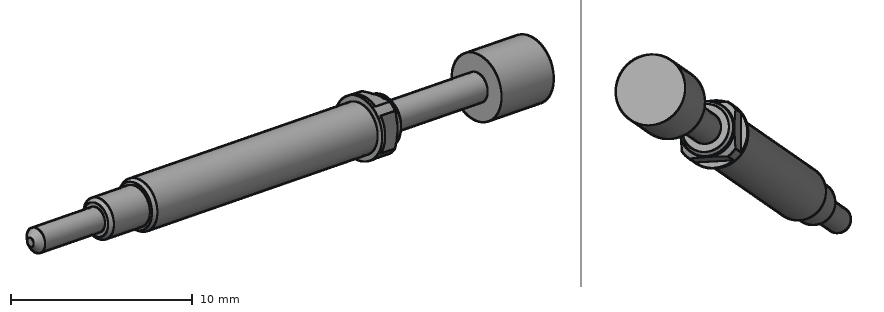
import cadquery as cq


pin_shoulder = 0.4
sleeve_start = 4.98
barrel_start = 7.95
flange_start = 25.0
flange_end = 25.25
collar_end = 26.98
head_start = 34.0
total_length = 38.0

pin_tip_diameter = 0.55
pin_diameter = 1.5
sleeve_diameter = 2.45
barrel_diameter = 3.08
flange_diameter = 3.8
plunger_diameter = 1.8
head_diameter = 4.0

sleeve_chamfer = 0.23
barrel_chamfer_length = 0.25
barrel_chamfer_depth = 0.15
collar_chamfer = 0.2
collar_taper_start = 26.35
collar_taper_end = 26.52
across_flats = barrel_diameter


def turned(*profile):
    """Revolve a (radius, station) outline, closed along the axis, about Y."""
    start = profile[0][1]
    end = profile[-1][1]
    outline = [(0, start), *profile, (0, end)]
    return cq.Workplane("XY").polyline(outline).close().revolve(360, (0, 0), (0, 1))


def rear_pin():
    radius = pin_diameter / 2
    return turned((pin_tip_diameter / 2, 0), (radius, pin_shoulder), (radius, sleeve_start))


def sleeve():
    radius = sleeve_diameter / 2
    return turned(
        (radius - sleeve_chamfer, sleeve_start),
        (radius, sleeve_start + sleeve_chamfer),
        (radius, barrel_start),
    )


def barrel():
    radius = barrel_diameter / 2
    return turned(
        (radius - barrel_chamfer_depth, barrel_start),
        (radius, barrel_start + barrel_chamfer_length),
        (radius, flange_start),
    )


def flange():
    radius = flange_diameter / 2
    return turned((radius, flange_start), (radius, flange_end))


def square_collar():
    """Tapered collar with four wrench flats whose corners reach the flange diameter."""
    corner_radius = flange_diameter / 2
    neck_radius = across_flats / 2
    collar = turned(
        (corner_radius, flange_end),
        (corner_radius, collar_taper_start),
        (neck_radius, collar_taper_end),
        (neck_radius, collar_end - collar_chamfer),
        (neck_radius - collar_chamfer, collar_end),
    )
    collar_length = collar_end - flange_end
    square = (
        cq.Workplane("XY")
        .box(across_flats, collar_length, across_flats)
        .translate((0, flange_end + collar_length / 2, 0))
    )
    return collar.intersect(square)


def plunger():
    radius = plunger_diameter / 2
    return turned((radius, collar_end), (radius, head_start))


def head():
    radius = head_diameter / 2
    return turned((radius, head_start), (radius, total_length))


result = rear_pin()
for section in (sleeve, barrel, flange, square_collar, plunger, head):
    result = result.union(section())